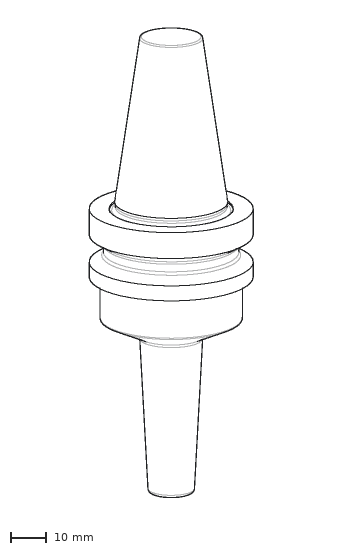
import cadquery as cq
import math


gauge_radius = 31.75 / 2
taper_length = 48.4
taper_ratio = 7 / 24
taper_end_round = 0.5

relief_radius = 15.7
relief_cone_height = 0.8
relief_round = 1.0
face_groove_radius = 17.4
face_groove_depth = 0.5

flange_radius = 46 / 2
flange_top = -2.0
flange_bottom = -22.0
v_groove_center = -13.6
v_groove_half_width = 4.0
v_groove_floor_radius = 38 / 2
v_groove_wall_angle = 60
v_groove_round = 1.0

body_radius = 40 / 2
body_bottom = -34.2
body_top_round = 0.4
body_bottom_round = 0.5
body_cone_angle = 65

nose_bottom = -85.0
nose_tip_radius = 6.5
nose_taper_angle = 3
nose_root_round = 1.1
nose_tip_round = 1.0


def slope(angle):
    """Change of radius per unit of height for a side at this angle to the axis."""
    return math.tan(math.radians(angle))


taper_end_radius = gauge_radius - taper_length * taper_ratio / 2
face_groove_floor = flange_top - face_groove_depth
v_groove_wall_height = (flange_radius - v_groove_floor_radius) / slope(v_groove_wall_angle)
v_groove_top = v_groove_center + v_groove_half_width
v_groove_bottom = v_groove_center - v_groove_half_width
v_floor_top = v_groove_top - v_groove_wall_height
v_floor_bottom = v_groove_bottom + v_groove_wall_height

nose_radius_at_body_bottom = nose_tip_radius + slope(nose_taper_angle) * (body_bottom - nose_bottom)
body_cone_height = (body_radius - nose_radius_at_body_bottom) / (
    slope(body_cone_angle) - slope(nose_taper_angle)
)
nose_root_height = body_bottom - body_cone_height
nose_root_radius = body_radius - body_cone_height * slope(body_cone_angle)


def turned_blank():
    """Revolve the sharp-cornered half profile about Z."""
    outline = [
        (0, taper_length),
        (taper_end_radius, taper_length),
        (gauge_radius, 0),
        (relief_radius, -relief_cone_height),
        (relief_radius, face_groove_floor),
        (face_groove_radius, face_groove_floor),
        (face_groove_radius, flange_top),
        (flange_radius, flange_top),
        (flange_radius, v_groove_top),
        (v_groove_floor_radius, v_floor_top),
        (v_groove_floor_radius, v_floor_bottom),
        (flange_radius, v_groove_bottom),
        (flange_radius, flange_bottom),
        (body_radius, flange_bottom),
        (body_radius, body_bottom),
        (nose_root_radius, nose_root_height),
        (nose_tip_radius, nose_bottom),
        (0, nose_bottom),
    ]
    return cq.Workplane("XZ").polyline(outline).close().revolve(360, (0, 0, 0), (0, 1, 0))


def round_circle(solid, radius, height, round_radius):
    """Fillet the circular edge of the given radius that lies at the given height."""
    margin = 0.01
    reach = radius + margin
    around_circle = cq.selectors.BoxSelector(
        (-reach, -reach, height - margin),
        (reach, reach, height + margin),
        boundingbox=True,
    )
    return solid.edges(around_circle).edges("%CIRCLE").fillet(round_radius)


holder = turned_blank()
holder = round_circle(holder, taper_end_radius, taper_length, taper_end_round)
holder = round_circle(holder, relief_radius, face_groove_floor, relief_round)
for floor_edge in (v_floor_top, v_floor_bottom):
    holder = round_circle(holder, v_groove_floor_radius, floor_edge, v_groove_round)
holder = round_circle(holder, body_radius, flange_bottom, body_top_round)
holder = round_circle(holder, body_radius, body_bottom, body_bottom_round)
holder = round_circle(holder, nose_root_radius, nose_root_height, nose_root_round)
holder = round_circle(holder, nose_tip_radius, nose_bottom, nose_tip_round)

result = holder